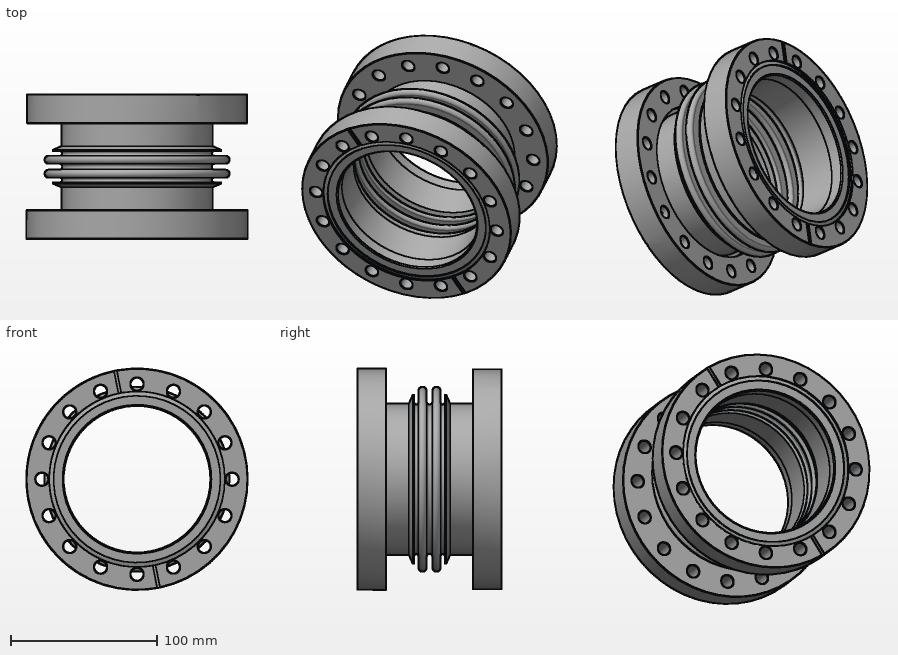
import cadquery as cq
overall_length = 99.0
half_length = overall_length / 2

flange_thickness = 20.0
fixed_flange_radius = 75.8
rotatable_flange_radius = 75.3
rim_chamfer = 0.5
inner_face = half_length - flange_thickness

bolt_count = 16
bolt_pitch = 360 / bolt_count
bolt_circle_radius = 65.0
bolt_hole_radius = 4.2
hole_chamfer = 0.5

groove_width = 2.0
groove_depth = 0.6
groove_angle = bolt_pitch / 2

recess_radius = 60.0
knife_radius = 57.0
knife_tip_depth = 0.5
recess_depth = 1.5
bore_chamfer = 0.9

bore_radius = 50.0
pipe_wall = 1.8
pipe_radius = bore_radius + pipe_wall
seat_depth = 10.6
pipe_end = half_length - seat_depth

ring_clearance_radius = 54.9
clearance_depth = 5.3
insert_face = inner_face + clearance_depth

flare_start = 14.1
flare_end = 11.5
flare_radius = 57.8
flare_edge = 0.6
flare_inner_start = 13.6

sheet = 0.5
crest_pitch = 9.5
crest_radius = 63.4
crest_round = 2.9
valley_radius = 51.2
lip_face = flare_end - flare_edge
lip_back = lip_face - sheet
crest_side_near = crest_pitch / 2 - crest_round
crest_side_far = crest_pitch / 2 + crest_round


def revolve_about_pipe_axis(profile):
    """Turn a closed (radius, y) profile into a solid of revolution about Y."""
    return profile.close().revolve(360, (0, 0, 0), (0, 1, 0))


def bolt_hole_cutter(start):
    """Chamfered holes on the bolt circle, through the flange whose -Y face is at y = start."""
    end = start + flange_thickness
    mouth_radius = bolt_hole_radius + hole_chamfer
    hole = revolve_about_pipe_axis(
        cq.Workplane("XY")
        .moveTo(0, start)
        .lineTo(mouth_radius, start)
        .lineTo(bolt_hole_radius, start + hole_chamfer)
        .lineTo(bolt_hole_radius, end - hole_chamfer)
        .lineTo(mouth_radius, end)
        .lineTo(0, end)
    ).translate((0, 0, bolt_circle_radius))
    holes = [hole.rotate((0, 0, 0), (0, 1, 0), i * bolt_pitch).val() for i in range(bolt_count)]
    return cq.Workplane(cq.Compound.makeCompound(holes))


def leak_grooves(y_outer, angle):
    """Two opposed radial grooves sunk into the outer face at y_outer."""
    length = 2 * (fixed_flange_radius + groove_width)
    bar = cq.Workplane("XY").box(groove_width, 2 * groove_depth, length)
    core = cq.Workplane("XZ").circle(recess_radius - groove_width).extrude(groove_depth, both=True)
    return (
        bar.cut(core)
        .rotate((0, 0, 0), (0, 1, 0), angle)
        .translate((0, y_outer, 0))
    )


def make_fixed_flange():
    """Flange at the -Y end, with the knife edge cut directly into it."""
    outer = -half_length
    body = revolve_about_pipe_axis(
        cq.Workplane("XY")
        .moveTo(bore_radius + bore_chamfer, outer + recess_depth)
        .lineTo(knife_radius, outer + recess_depth)
        .lineTo(knife_radius, outer + knife_tip_depth)
        .lineTo(recess_radius, outer + recess_depth)
        .lineTo(recess_radius, outer)
        .lineTo(fixed_flange_radius - rim_chamfer, outer)
        .lineTo(fixed_flange_radius, outer + rim_chamfer)
        .lineTo(fixed_flange_radius, -inner_face - rim_chamfer)
        .lineTo(fixed_flange_radius - rim_chamfer, -inner_face)
        .lineTo(pipe_radius, -inner_face)
        .lineTo(pipe_radius, -pipe_end)
        .lineTo(bore_radius, -pipe_end)
        .lineTo(bore_radius, outer + recess_depth + bore_chamfer)
    )
    return body.cut(bolt_hole_cutter(outer)).cut(leak_grooves(outer, -groove_angle))


def make_rotatable_flange():
    """Loose ring at the +Y end, turned by one bolt pitch around the insert it captures."""
    body = revolve_about_pipe_axis(
        cq.Workplane("XY")
        .moveTo(ring_clearance_radius, inner_face)
        .lineTo(rotatable_flange_radius - rim_chamfer, inner_face)
        .lineTo(rotatable_flange_radius, inner_face + rim_chamfer)
        .lineTo(rotatable_flange_radius, half_length - rim_chamfer)
        .lineTo(rotatable_flange_radius - rim_chamfer, half_length)
        .lineTo(recess_radius, half_length)
        .lineTo(recess_radius, insert_face)
        .lineTo(ring_clearance_radius, insert_face)
    )
    grooves = leak_grooves(half_length, groove_angle + bolt_pitch)
    return body.cut(bolt_hole_cutter(inner_face)).cut(grooves)


def make_seal_insert():
    """Knife-edge ring seated in the rotatable flange, with a socket for the end of the pipe."""
    return revolve_about_pipe_axis(
        cq.Workplane("XY")
        .moveTo(bore_radius, pipe_end)
        .lineTo(pipe_radius, pipe_end)
        .lineTo(pipe_radius, insert_face)
        .lineTo(recess_radius, insert_face)
        .lineTo(recess_radius, half_length - recess_depth)
        .lineTo(knife_radius, half_length - knife_tip_depth)
        .lineTo(knife_radius, half_length - recess_depth)
        .lineTo(bore_radius + bore_chamfer, half_length - recess_depth)
        .lineTo(bore_radius, half_length - recess_depth - bore_chamfer)
    )


def make_pipe(side):
    """Pipe stub with a flared skirt; side is -1 for the -Y end and +1 for the +Y end."""
    return revolve_about_pipe_axis(
        cq.Workplane("XY")
        .moveTo(bore_radius, side * pipe_end)
        .lineTo(pipe_radius, side * pipe_end)
        .lineTo(pipe_radius, side * flare_start)
        .lineTo(flare_radius, side * flare_end)
        .lineTo(flare_radius, side * lip_face)
        .lineTo(bore_radius, side * flare_inner_start)
    )


def corrugated_core(inset):
    """Solid bounded by the corrugated surface that lies the given inset below the outside of the sheet."""
    valleys = [
        (-lip_back, -crest_side_far),
        (-crest_side_near, crest_side_near),
        (crest_side_far, lip_back),
    ]
    floor_radius = valley_radius - inset
    crest_center_radius = crest_radius - crest_round
    profile = cq.Workplane("XY").moveTo(0, -lip_back - inset)
    for index, (start, end) in enumerate(valleys):
        center_radius = valley_radius + (end - start) / 2
        profile = (
            profile
            .lineTo(center_radius, start - inset)
            .threePointArc((floor_radius, (start + end) / 2), (center_radius, end + inset))
        )
        if index + 1 < len(valleys):
            next_start = valleys[index + 1][0]
            profile = (
                profile
                .lineTo(crest_center_radius, end + inset)
                .threePointArc(
                    (crest_radius - inset, (end + next_start) / 2),
                    (crest_center_radius, next_start - inset),
                )
            )
    return revolve_about_pipe_axis(profile.lineTo(0, lip_back + inset))


def make_bellows():
    """Thin corrugated sheet with two crests and a flat lip at each end."""
    body = corrugated_core(0)
    for side in (-1, 1):
        lip = cq.Workplane("XZ", origin=(0, side * lip_back, 0)).circle(flare_radius).extrude(-side * sheet)
        body = body.union(lip)
    return body.cut(corrugated_core(sheet))


fixed_flange = make_fixed_flange()
rotatable_flange = make_rotatable_flange()
seal_insert = make_seal_insert()
pipes = [make_pipe(side) for side in (-1, 1)]
bellows = make_bellows()

result = cq.Compound.makeCompound(
    [
        fixed_flange.val(),
        rotatable_flange.val(),
        seal_insert.val(),
        *[pipe.val() for pipe in pipes],
        bellows.val(),
    ]
)